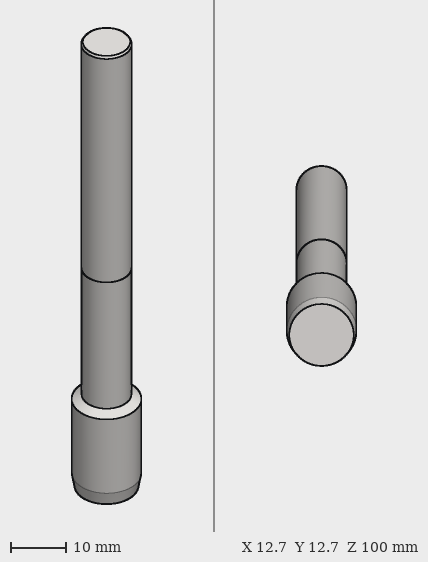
import cadquery as cq

total_length = 100.0
joint_z = 49.1

head_diameter = 12.7
shank_diameter = 9.1
lead_in_end_diameter = 11.7
lead_in_height = 2.9
shoulder_height = 1.1
shoulder_top_z = 20.6

rod_diameter = 9.2
tip_chamfer_inset = 0.3
tip_chamfer_height = 0.5

head_radius = head_diameter / 2
shank_radius = shank_diameter / 2
lead_in_end_radius = lead_in_end_diameter / 2
rod_radius = rod_diameter / 2


def turned(profile_points):
    """Revolve a closed (radius, height) outline about the Z axis."""
    return cq.Workplane("XZ").polyline(profile_points).close().revolve(360, (0, 0), (0, 1))


def make_headed_shank():
    """Thick head with a tapered lead-in below and a conical shoulder up to the shank."""
    return turned([
        (0, 0),
        (lead_in_end_radius, 0),
        (head_radius, lead_in_height),
        (head_radius, shoulder_top_z - shoulder_height),
        (shank_radius, shoulder_top_z),
        (shank_radius, joint_z),
        (0, joint_z),
    ])


def make_rod():
    """Plain rod, butted against the shank and chamfered at its free tip."""
    return turned([
        (0, joint_z),
        (rod_radius, joint_z),
        (rod_radius, total_length - tip_chamfer_height),
        (rod_radius - tip_chamfer_inset, total_length),
        (0, total_length),
    ])


headed_shank = make_headed_shank()
rod = make_rod()

result = cq.Compound.makeCompound([headed_shank.val(), rod.val()])